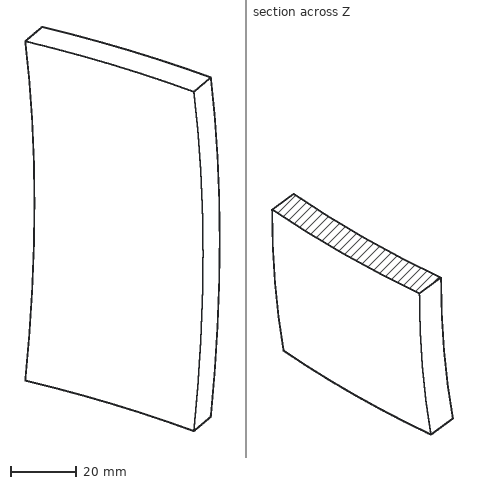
import cadquery as cq

width = 60.0
height = 120.0
thickness = 10.0
inner_radius = 332.0

outer_radius = inner_radius + thickness


def ball(radius):
    """Sphere about the origin, turned so its seam runs along the +Y meridian."""
    return cq.Workplane("XY").sphere(radius).rotate((0, 0, 0), (0, 0, 1), 90)


def panel_prism():
    """Rectangular bar along +Y, from the centre of curvature to the outer surface."""
    return cq.Workplane("XY").box(width, outer_radius, height, centered=(True, False, True))


result = panel_prism().intersect(ball(outer_radius), clean=False).cut(ball(inner_radius), clean=False)